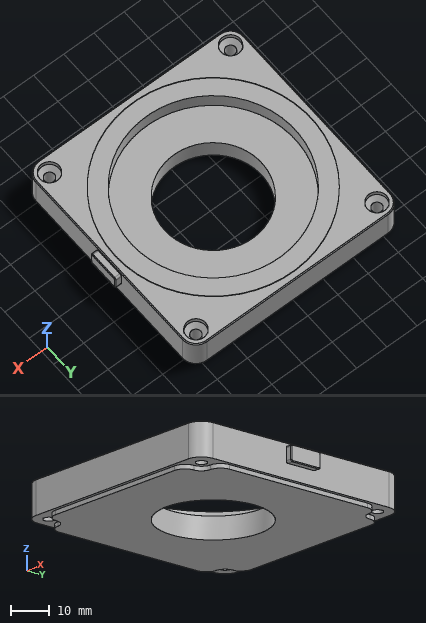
import cadquery as cq
import math

body_side = 69.0
overall_height = 11.5
lip_height = 1.25
ring_height = 0.25
body_height = overall_height - lip_height - ring_height
body_top = lip_height + body_height
top_edge_chamfer = 0.3

screw_offset = 30.0
corner_radius = body_side / 2 - screw_offset
screw_hole_diameter = 3.2
screw_head_diameter = 6.3
screw_head_recess = 1.4
countersink_angle = 100.0

lip_inset = 1.0
lip_half = body_side / 2 - lip_inset
relief_radius = 3.0
ear_radius = lip_half - screw_offset

ring_diameter = 65.0
pocket_diameter = 54.2
pocket_depth = 5.0
bore_diameter = 32.0

connector_length = 2.0
connector_width = 10.0
connector_height = 4.7
connector_center_z = 7.9
connector_edge_radius = 0.6
connector_end_chamfer = 0.25


def make_body():
    """Square block with rounded corners and a chamfered top rim."""
    block = cq.Workplane("XY").workplane(offset=lip_height).rect(body_side, body_side).extrude(body_height)
    return block.edges("|Z").fillet(corner_radius).faces(">Z").chamfer(top_edge_chamfer)


def make_lip():
    """Inset square with a round-shouldered notch around each corner screw."""
    lip = cq.Workplane("XY").rect(2 * lip_half, 2 * lip_half).extrude(lip_height)
    notch_edge = screw_offset - relief_radius
    shoulder_center = notch_edge - ear_radius
    cos_45 = math.sqrt(0.5)
    shoulder_mid = shoulder_center + ear_radius * cos_45
    ear_mid = screw_offset + ear_radius * cos_45
    relief_mid = screw_offset - relief_radius * cos_45
    notch = (
        cq.Workplane("XY")
        .moveTo(lip_half, lip_half)
        .lineTo(shoulder_center, lip_half)
        .threePointArc((shoulder_mid, ear_mid), (notch_edge, screw_offset))
        .threePointArc((relief_mid, relief_mid), (screw_offset, notch_edge))
        .threePointArc((ear_mid, shoulder_mid), (lip_half, shoulder_center))
        .close()
        .extrude(lip_height)
    )
    for quarter in range(4):
        lip = lip.cut(notch.rotate((0, 0, 0), (0, 0, 1), 90 * quarter))
    return lip


def make_ring():
    """Low circular pad on top of the body."""
    return cq.Workplane("XY").workplane(offset=body_top).circle(ring_diameter / 2).extrude(ring_height)


def make_connector():
    """Connector nose with rounded long edges and a chamfered end, protruding from the +X side."""
    return (
        cq.Workplane("YZ")
        .workplane(offset=body_side / 2)
        .center(0, connector_center_z)
        .rect(connector_width, connector_height)
        .extrude(connector_length)
        .edges("|X")
        .fillet(connector_edge_radius)
        .faces(">X")
        .chamfer(connector_end_chamfer)
    )


def make_screw_hole():
    """Cutter on the Z axis: through hole, cone and short cylindrical head recess."""
    hole_radius = screw_hole_diameter / 2
    head_radius = screw_head_diameter / 2
    cone_depth = (head_radius - hole_radius) / math.tan(math.radians(countersink_angle / 2))
    recess_floor = body_top - screw_head_recess
    return (
        cq.Workplane("XZ")
        .lineTo(hole_radius, 0)
        .lineTo(hole_radius, recess_floor - cone_depth)
        .lineTo(head_radius, recess_floor)
        .lineTo(head_radius, body_top)
        .lineTo(0, body_top)
        .close()
        .revolve(360, (0, 0), (0, 1))
    )


def make_center_opening():
    """Cutter for the wide upper pocket and the through bore below it."""
    bore = cq.Workplane("XY").circle(bore_diameter / 2).extrude(overall_height)
    pocket_floor = overall_height - pocket_depth
    pocket = cq.Workplane("XY").workplane(offset=pocket_floor).circle(pocket_diameter / 2).extrude(pocket_depth)
    return bore.union(pocket)


result = make_body().union(make_lip()).union(make_ring()).union(make_connector())
result = result.cut(make_center_opening())
for x_side in (-1, 1):
    for y_side in (-1, 1):
        screw_position = (x_side * screw_offset, y_side * screw_offset, 0)
        result = result.cut(make_screw_hole().translate(screw_position))